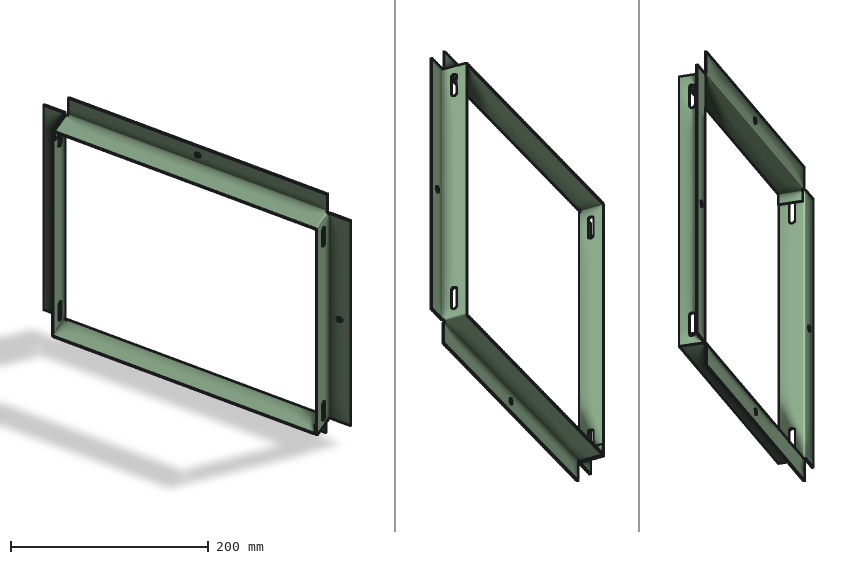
import cadquery as cq
import math

frame_size = 349.5
frame_depth = 28.5
sheet = 1.6
bend_inner = 1.0
flange_width = 23.8
tab_length = 13.0
hole_diameter = 6.3
hole_edge_distance = 12.5
slot_length = 26.0
slot_width = 6.3
slot_free_end_offset = 22.5
slot_corner_offset = 24.8

half_size = frame_size / 2
bend_outer = bend_inner + sheet
wall_outer = half_size - flange_width
wall_inner = wall_outer - sheet
back = frame_depth / 2
front = -frame_depth / 2
bend_end = back - bend_outer
corner_tangent = wall_outer - bend_outer
tab_tangent = wall_inner - bend_outer


def flanged_strip(start, end):
    """Bottom wall with outward flange at -Z, running along X from start to end."""
    diagonal = math.sqrt(0.5)
    arc_z = -wall_outer - bend_inner
    arc_y = bend_end
    profile = (
        cq.Workplane("YZ", origin=(start, 0, 0))
        .moveTo(front, -wall_inner)
        .lineTo(arc_y, -wall_inner)
        .threePointArc(
            (arc_y + bend_outer * diagonal, arc_z + bend_outer * diagonal),
            (back, arc_z),
        )
        .lineTo(back, -half_size)
        .lineTo(back - sheet, -half_size)
        .lineTo(back - sheet, arc_z)
        .threePointArc(
            (arc_y + bend_inner * diagonal, arc_z + bend_inner * diagonal),
            (arc_y, -wall_outer),
        )
        .lineTo(front, -wall_outer)
        .close()
    )
    strip = profile.extrude(end - start)
    hole = (
        cq.Workplane("XZ", origin=(0, back, 0))
        .center((start + end) / 2, -half_size + hole_edge_distance)
        .circle(hole_diameter / 2)
        .extrude(sheet)
    )
    return strip.cut(hole)


def bottom_side():
    return flanged_strip(-corner_tangent, tab_tangent)


def left_side():
    """The flanged strip turned onto the left, with two slots through its wall."""
    strip = flanged_strip(-wall_outer, corner_tangent).rotate((0, 0, 0), (0, 1, 0), 90)
    slot_heights = [wall_outer - slot_free_end_offset, slot_corner_offset - wall_outer]
    slots = (
        cq.Workplane("YZ", origin=(-wall_outer, 0, 0))
        .pushPoints([(0, height) for height in slot_heights])
        .slot2D(slot_length, slot_width, 90)
        .extrude(sheet)
    )
    return strip.cut(slots)


def corner_bend(center_x, center_z, side):
    """Quarter-round bend below a centre, on its left (side -1) or right (side 1)."""
    origin = (center_x, bend_end, center_z)
    depth = bend_end - front
    ring = cq.Workplane("XZ", origin=origin).circle(bend_outer).circle(bend_inner).extrude(depth)
    quadrant = (
        cq.Workplane("XZ", origin=origin)
        .center(side * bend_outer / 2, -bend_outer / 2)
        .rect(bend_outer, bend_outer)
        .extrude(depth)
    )
    return ring.intersect(quadrant)


def end_tab():
    """Tab that turns up from the bottom wall, inside the opposite angle's side wall."""
    bottom = -corner_tangent
    top = -wall_outer + tab_length
    flat = cq.Workplane("XY").box(
        sheet, bend_end - front, top - bottom, centered=False
    ).translate((wall_inner - sheet, front, bottom))
    return corner_bend(tab_tangent, bottom, 1).union(flat)


def angle_frame():
    """Half of the frame: left and bottom sides bent from one sheet."""
    corner = corner_bend(-corner_tangent, -corner_tangent, -1)
    return left_side().union(corner).union(bottom_side()).union(end_tab())


angles = [angle_frame().rotate((0, 0, 0), (0, 1, 0), turn).solids().val() for turn in (0, 180)]

result = cq.Compound.makeCompound(angles)